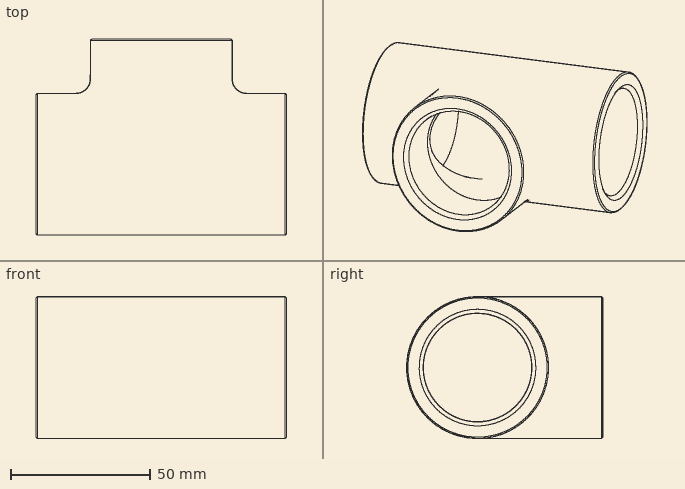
import cadquery as cq

arm_reach = 45.0
outer_diameter = 51.0
rim_chamfer = 0.5
crotch_radius = 5.0

passage_diameter = 38.93
socket_diameter = 38.95
socket_depth = 19.2
mouth_diameter = 41.91
mouth_taper = 45.0
mouth_depth = (mouth_diameter - socket_diameter) / 2

end_faces = "<X or >X or >Y"
arm_directions = [(-1, 0, 0), (1, 0, 0), (0, 1, 0)]


def filleted_tee(diameter):
    """Crossing cylinders of equal diameter, rounded where the branch meets the run."""
    run = cq.Workplane("YZ").circle(diameter / 2).extrude(arm_reach, both=True)
    branch = cq.Workplane("XZ").circle(diameter / 2).extrude(-arm_reach)
    return run.union(branch).edges("%ELLIPSE").fillet(crotch_radius)


def outer_body():
    """Solid outer shape with bevelled rims."""
    return filleted_tee(outer_diameter).faces(end_faces).edges().chamfer(rim_chamfer)


def socket(direction):
    """Cutter for the socket and its flared mouth in the arm pointing along direction."""
    end_center = cq.Vector(*direction) * arm_reach
    end_plane = cq.Plane(origin=end_center, xDir=(0, 0, 1), normal=direction)
    barrel = cq.Workplane(end_plane).circle(socket_diameter / 2).extrude(-socket_depth)
    flare = cq.Workplane(end_plane).circle(mouth_diameter / 2).extrude(-mouth_depth, taper=mouth_taper)
    return barrel.union(flare)


result = outer_body().cut(filleted_tee(passage_diameter))
for arm_direction in arm_directions:
    result = result.cut(socket(arm_direction))